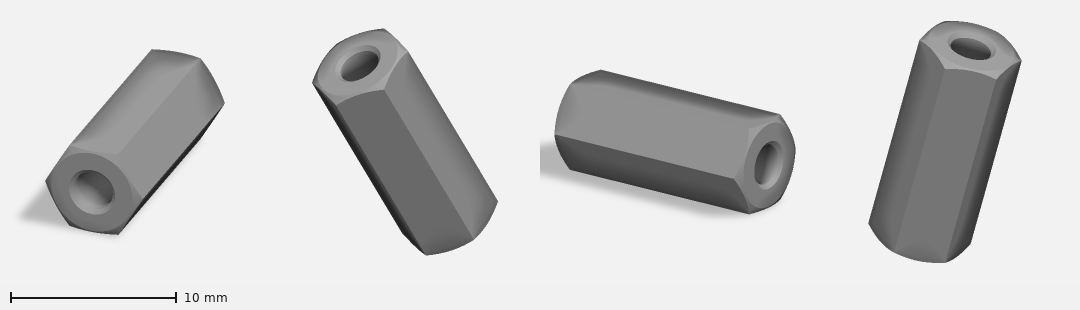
import cadquery as cq
import math

side_count = 6
across_flats = 5.5
length = 14.0
bore_diameter = 2.5
countersink_diameter = 3.0
countersink_angle = 45.0
end_face_diameter = 5.27
corner_chamfer_angle = 30.0

across_corners = across_flats / math.cos(math.pi / side_count)
half_length = length / 2


def cone_ended_body(end_radius, middle_radius, cone_length):
    """Solid of revolution about Y: a cylinder with a cone of the given length at each end."""
    profile = [
        (0, -half_length),
        (end_radius, -half_length),
        (middle_radius, -half_length + cone_length),
        (middle_radius, half_length - cone_length),
        (end_radius, half_length),
        (0, half_length),
    ]
    return cq.Workplane("XY").polyline(profile).close().revolve(360, (0, 0), (0, 1))


def hexagonal_bar():
    """Hexagonal prism centred on the origin, two corners on the X axis, flats on top and bottom."""
    return cq.Workplane("XZ").polygon(side_count, across_corners).extrude(half_length, both=True)


def chamfer_envelope():
    """Round body with conical ends; intersecting with it bevels the hexagon corners."""
    face_radius = end_face_diameter / 2
    outer_radius = across_corners
    cone_length = (outer_radius - face_radius) * math.tan(math.radians(corner_chamfer_angle))
    return cone_ended_body(face_radius, outer_radius, cone_length)


def countersunk_bore():
    """Through bore along Y, widened by a cone at both ends."""
    bore_radius = bore_diameter / 2
    mouth_radius = countersink_diameter / 2
    countersink_depth = (mouth_radius - bore_radius) / math.tan(math.radians(countersink_angle))
    return cone_ended_body(mouth_radius, bore_radius, countersink_depth)


result = hexagonal_bar().intersect(chamfer_envelope()).cut(countersunk_bore())